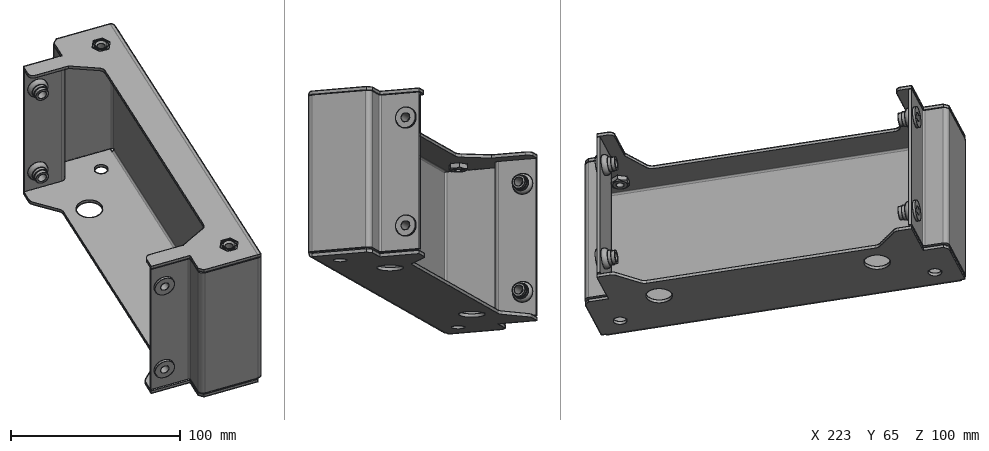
import cadquery as cq
import math

WIDTH = 223.0
DEPTH = 65.0
HEIGHT = 100.0

SHEET = 2.0
BEND_INNER = 1.1
BEND_OUTER = BEND_INNER + SHEET
TOP_GAP = 0.5
BOTTOM_GAP = BEND_INNER

HALF_WIDTH = WIDTH / 2
HALF_THROAT = 96.3
SHOULDER_Y = -40.1
FRONT_Y = -DEPTH

PLATE_SETBACK = 0.2
PLATE_HALF_WIDTH = HALF_WIDTH - PLATE_SETBACK
SHOULDER_CHAMFER = 2.7
TOP_EDGE_Y = -22.0
TOP_EDGE_HALF = 76.3
ARM_INNER_X = 86.3
ARM_BEND_Y = SHOULDER_Y
TOP_EDGE_FILLET = 4.5
ARM_TIP_FILLET = 3.3
BOTTOM_EDGE_Y = -50.5
BOTTOM_EDGE_HALF = 71.8
BOTTOM_EDGE_FILLET = 4.5

CABLE_HOLE_D = 15.5
CABLE_HOLE_X = 66.7
CABLE_HOLE_Y = -35.2
ACCESS_HOLE_D = 8.0

NUT_X = HALF_THROAT
NUT_Y = -15.2
NUT_SIDES = 6
NUT_FLATS = 10.0
NUT_HEIGHT = 5.4
NUT_BORE_D = 4.7
NUT_COUNTERSINK_D = 7.1
NUT_COUNTERSINK_ANGLE = 90.0
NUT_FACE_D = 8.7
NUT_CHAMFER_ANGLE = 30.0

BUSHING_SETBACK = 8.0
BUSHING_Y = FRONT_Y + BUSHING_SETBACK
BUSHING_EDGE = 17.5
BUSHING_HEAD_R = 6.2
BUSHING_HEAD_T = 1.5
BUSHING_SHANK_R = 4.5
BUSHING_WASHER_T = 3.3
BUSHING_WASHER_CREST = 1.0
BUSHING_WASHER_END_R = 4.7
BUSHING_COLLAR_T = 2.0
BUSHING_TIP_T = 2.2
BUSHING_TIP_R = 4.0
BUSHING_BORE_R = 2.7


def box(half_width, y_back, y_front, z_low, z_high):
    """Block centred on X."""
    size = (2 * half_width, y_back - y_front, z_high - z_low)
    return cq.Workplane("XY").box(*size, centered=(True, False, False)).translate((0, y_front, z_low))


def hat_block(inset, front_y, corner_radius, throat_radius, z_low, z_high):
    """Solid hat-shaped block whose faces lie `inset` inside the outer faces of the walls."""
    half_throat = HALF_THROAT - inset
    shoulder_y = SHOULDER_Y + inset
    rear = box(HALF_WIDTH - inset, -inset, shoulder_y, z_low, z_high)
    rear = rear.edges("|Z").fillet(corner_radius)
    middle_y = (shoulder_y - inset) / 2
    block = rear.union(box(half_throat, middle_y, front_y, z_low, z_high))
    middle_z = (z_low + z_high) / 2
    for side in (-1, 1):
        root = cq.selectors.NearestToPointSelector((side * half_throat, shoulder_y, middle_z))
        block = block.edges("|Z").edges(root).fillet(throat_radius)
    return block


def side_walls():
    """Bent strip that forms the back wall, the side walls, the shoulders and the front flanges."""
    z_low = SHEET + BOTTOM_GAP
    z_high = HEIGHT - SHEET - TOP_GAP
    outer = hat_block(0, FRONT_Y, BEND_OUTER, BEND_INNER, z_low, z_high)
    inner = hat_block(SHEET, FRONT_Y - SHEET, BEND_INNER, BEND_OUTER, z_low, z_high)
    return outer.cut(inner)


def channel():
    """C-shaped channel: the back wall with the full top and bottom plates bent forward."""
    outer = box(PLATE_HALF_WIDTH, 0, FRONT_Y, 0, HEIGHT).edges(">Y and |X").fillet(BEND_OUTER)
    inner = box(HALF_WIDTH, -SHEET, FRONT_Y - SHEET, SHEET, HEIGHT - SHEET)
    inner = inner.edges(">Y and |X").fillet(BEND_INNER)
    return outer.cut(inner)


def mirrored_outline(right_half):
    """Closed outline from the points of its right half, listed from the back to the front."""
    left_half = [(-x, y) for x, y in reversed(right_half)]
    return cq.Workplane("XY").polyline(right_half + left_half).close()


def fillet_upright(block, x, y, radius):
    """Round the pair of upright edges at (x, y) and (-x, y)."""
    for side in (-1, 1):
        corner = cq.selectors.NearestToPointSelector((side * x, y, HEIGHT / 2))
        block = block.edges("|Z").edges(corner).fillet(radius)
    return block


def plate_shape(inner_edge):
    """Block with the plan of a plate, from the points of the right half of its front edge."""
    outer_edge = [
        (PLATE_HALF_WIDTH, 0),
        (PLATE_HALF_WIDTH, SHOULDER_Y + SHOULDER_CHAMFER),
        (PLATE_HALF_WIDTH - SHOULDER_CHAMFER, SHOULDER_Y),
        (HALF_THROAT, SHOULDER_Y),
        (HALF_THROAT, FRONT_Y),
    ]
    block = mirrored_outline(outer_edge + inner_edge).extrude(HEIGHT)
    return fillet_upright(block, PLATE_HALF_WIDTH, 0, BEND_OUTER)


def top_plate_shape():
    """Block with the plan of the top plate, over the full height."""
    inner_edge = [(ARM_INNER_X, FRONT_Y), (ARM_INNER_X, ARM_BEND_Y), (TOP_EDGE_HALF, TOP_EDGE_Y)]
    block = plate_shape(inner_edge)
    block = fillet_upright(block, TOP_EDGE_HALF, TOP_EDGE_Y, TOP_EDGE_FILLET)
    return fillet_upright(block, ARM_INNER_X, FRONT_Y, ARM_TIP_FILLET)


def bottom_plate_shape():
    """Block with the plan of the bottom plate, over the full height."""
    tip_x = BOTTOM_EDGE_HALF + BOTTOM_EDGE_Y - FRONT_Y
    inner_edge = [(tip_x, FRONT_Y), (BOTTOM_EDGE_HALF, BOTTOM_EDGE_Y)]
    block = plate_shape(inner_edge)
    block = fillet_upright(block, BOTTOM_EDGE_HALF, BOTTOM_EDGE_Y, BOTTOM_EDGE_FILLET)
    return fillet_upright(block, tip_x, FRONT_Y, BOTTOM_EDGE_FILLET)


def corner_relief(side):
    """Notch at a rear bottom corner, where the bottom bend stops short of the side wall."""
    size = 2 * BEND_OUTER
    return cq.Workplane("XY").box(size, size, size).translate((side * HALF_WIDTH, 0, 0))


def bushing_places():
    """Side (-1 or 1) and height of every bushing."""
    return [(side, z) for side in (-1, 1) for z in (BUSHING_EDGE, HEIGHT - BUSHING_EDGE)]


def make_bracket():
    """Folded sheet-metal bracket with its openings for the nuts and bushings."""
    middle = HEIGHT / 2
    upper = box(WIDTH, WIDTH, -WIDTH, middle, HEIGHT)
    lower = box(WIDTH, WIDTH, -WIDTH, 0, middle)
    shell = channel()
    top = shell.intersect(upper).intersect(top_plate_shape())
    bottom = shell.intersect(lower).intersect(bottom_plate_shape())
    for side in (-1, 1):
        bottom = bottom.cut(corner_relief(side))
    bracket = top.union(bottom).union(side_walls())

    plate_level = cq.Workplane("XY")
    bracket = bracket.cut(
        plate_level.pushPoints([(-CABLE_HOLE_X, CABLE_HOLE_Y), (CABLE_HOLE_X, CABLE_HOLE_Y)])
        .circle(CABLE_HOLE_D / 2)
        .extrude(SHEET)
    )
    bracket = bracket.cut(
        plate_level.pushPoints([(-NUT_X, NUT_Y), (NUT_X, NUT_Y)])
        .circle(ACCESS_HOLE_D / 2)
        .extrude(SHEET)
    )
    for side in (-1, 1):
        bracket = bracket.cut(nut_prism(side))
    for side, z in bushing_places():
        hole = cq.Workplane("YZ").center(BUSHING_Y, z).circle(BUSHING_SHANK_R)
        bracket = bracket.cut(hole.extrude(side * HALF_WIDTH))
    return bracket


def nut_prism(side):
    """Plain hexagon of a nut, with two corners pointing along Y."""
    half_side_angle = 180 / NUT_SIDES
    across_corners = NUT_FLATS / math.cos(math.radians(half_side_angle))
    prism = cq.Workplane("XY").polygon(NUT_SIDES, across_corners).extrude(NUT_HEIGHT)
    prism = prism.rotate((0, 0, 0), (0, 0, 1), half_side_angle)
    return prism.translate((side * NUT_X, NUT_Y, HEIGHT - NUT_HEIGHT))


def make_nut(side):
    """Hexagonal nut, flush with the top plate, with chamfered corners and a countersunk bore."""
    slope = math.tan(math.radians(NUT_CHAMFER_ANGLE))
    face_r = NUT_FACE_D / 2
    middle_r = face_r + NUT_HEIGHT / 2 / slope
    profile = [(0, 0), (face_r, 0), (middle_r, NUT_HEIGHT / 2), (face_r, NUT_HEIGHT), (0, NUT_HEIGHT)]
    double_cone = (
        cq.Workplane("XZ")
        .polyline(profile)
        .close()
        .revolve(360, (0, 0), (0, 1))
        .translate((side * NUT_X, NUT_Y, HEIGHT - NUT_HEIGHT))
    )
    nut = nut_prism(side).intersect(double_cone)
    end_face = nut.faces(">Z").workplane(origin=(side * NUT_X, NUT_Y, HEIGHT))
    return end_face.cskHole(NUT_BORE_D, NUT_COUNTERSINK_D, NUT_COUNTERSINK_ANGLE)


def make_bushing(side, z):
    """Bushing clamped on a flange: flat head outside, rounded washer, collar and tip inside."""
    washer_start = SHEET
    collar_start = washer_start + BUSHING_WASHER_T
    tip_start = collar_start + BUSHING_COLLAR_T
    tip_end = tip_start + BUSHING_TIP_T
    crest = washer_start + BUSHING_WASHER_CREST
    rim_run = collar_start - crest
    rim_drop = BUSHING_HEAD_R - BUSHING_WASHER_END_R
    rim_r = (rim_run**2 + rim_drop**2) / (2 * rim_drop)
    washer_start_r = BUSHING_HEAD_R - rim_r + math.sqrt(rim_r**2 - BUSHING_WASHER_CREST**2)
    profile = (
        cq.Workplane("XY")
        .moveTo(-BUSHING_HEAD_T, BUSHING_BORE_R)
        .lineTo(-BUSHING_HEAD_T, BUSHING_HEAD_R)
        .lineTo(0, BUSHING_HEAD_R)
        .lineTo(0, BUSHING_SHANK_R)
        .lineTo(washer_start, BUSHING_SHANK_R)
        .lineTo(washer_start, washer_start_r)
        .threePointArc((crest, BUSHING_HEAD_R), (collar_start, BUSHING_WASHER_END_R))
        .lineTo(collar_start, BUSHING_SHANK_R)
        .lineTo(tip_start, BUSHING_SHANK_R)
        .lineTo(tip_start, BUSHING_TIP_R)
        .lineTo(tip_end, BUSHING_TIP_R)
        .lineTo(tip_end, BUSHING_BORE_R)
        .close()
    )
    bushing = profile.revolve(360, (0, 0), (1, 0))
    if side > 0:
        bushing = bushing.rotate((0, 0, 0), (0, 0, 1), 180)
    return bushing.translate((side * HALF_THROAT, BUSHING_Y, z))


bracket = make_bracket()
nuts = [make_nut(side) for side in (-1, 1)]
bushings = [make_bushing(side, z) for side, z in bushing_places()]

result = cq.Compound.makeCompound(
    [bracket.solids().val()] + [nut.val() for nut in nuts] + [bushing.val() for bushing in bushings]
)